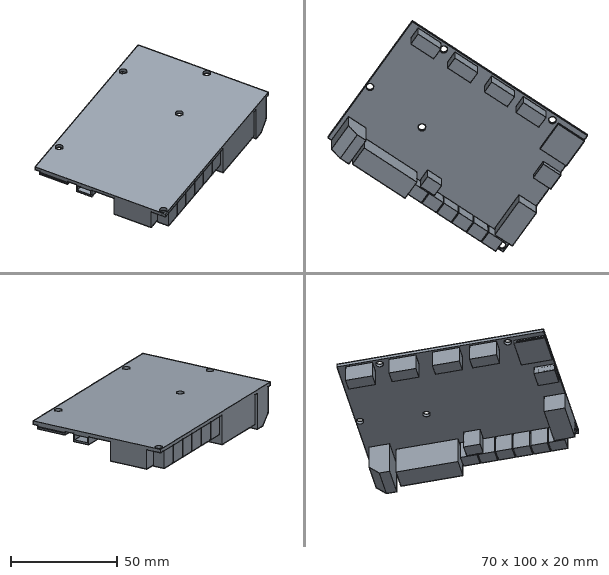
import cadquery as cq

BOARD_LENGTH_X = 70.0
BOARD_LENGTH_Y = 100.0
BOARD_THICKNESS = 1.8
OVERALL_HEIGHT = 20.0

HOLE_DIAMETER = 3.5
LEFT_HOLE_X = 3.0
HOLE_CENTRES = [
    (38.0, 98.0),
    (LEFT_HOLE_X, 80.0),
    (LEFT_HOLE_X, 18.0),
    (40.7, 66.5),
    (67.7, 2.3),
]

SOCKET_WIDTH_X = 6.0
SOCKET_LENGTH_Y = 13.0
SOCKET_HEIGHT = 8.9
SOCKET_X = 1.0
SOCKET_STARTS_Y = [23.0, 41.0, 62.0, 83.0]

TERMINAL_WIDTH_X = 6.0
TERMINAL_LENGTH_Y = 8.0
TERMINAL_HEIGHT = 9.8
TERMINAL_X = 63.0
TERMINAL_FIRST_Y = 5.0
TERMINAL_GAP = 0.5
TERMINAL_PITCH = TERMINAL_LENGTH_Y + TERMINAL_GAP
TERMINAL_COUNT = 6
INNER_TERMINAL_X = TERMINAL_X - TERMINAL_GAP - TERMINAL_WIDTH_X
INNER_TERMINAL_Y = 44.4

FRONT_CONNECTOR_X = 42.4
FRONT_CONNECTOR_WIDTH_X = 20.0
FRONT_CONNECTOR_LENGTH_Y = 10.0

LONG_BLOCK_WIDTH_X = 9.8
LONG_BLOCK_LENGTH_Y = 30.0
LONG_BLOCK_HEIGHT = 15.0
LONG_BLOCK_Y = 56.0

TALL_BLOCK_WIDTH_X = 14.2
TALL_BLOCK_LENGTH_Y = 10.0
TALL_BLOCK_HEIGHT = OVERALL_HEIGHT - BOARD_THICKNESS
TALL_BLOCK_Y = 88.0
TALL_BLOCK_CHAMFER = 5.0

CARD_HOLDER_X = 2.5
CARD_HOLDER_WIDTH_X = 15.0
CARD_HOLDER_LENGTH_Y = 15.0
CARD_HOLDER_HEIGHT = 1.8
CARD_SLOT_SIDE_WALL = 0.3
CARD_SLOT_TOP_WALL = 0.5
CARD_SLOT_HEIGHT = 0.4
CARD_SLOT_DEPTH = 14.0

USB_X = 22.2
USB_WIDTH_X = 8.3
USB_LENGTH_Y = 10.0
USB_HEIGHT = 4.1
USB_SIDE_WALL = 0.6
USB_TOP_WALL = 0.5
USB_OPENING_HEIGHT = 2.6
USB_OPENING_DEPTH = 8.0


def hanging_box(x, y, width_x, length_y, height, top=0.0):
    """Box with its lowest-x, lowest-y corner at (x, y), reaching down from z = top."""
    return cq.Workplane("XY").box(width_x, length_y, height, centered=False).translate((x, y, top - height))


def board():
    plate = cq.Workplane("XY").box(BOARD_LENGTH_X, BOARD_LENGTH_Y, BOARD_THICKNESS, centered=False)
    holes = cq.Workplane("XY").pushPoints(HOLE_CENTRES).circle(HOLE_DIAMETER / 2).extrude(BOARD_THICKNESS)
    return plate.cut(holes)


def sockets():
    return [
        hanging_box(SOCKET_X, y, SOCKET_WIDTH_X, SOCKET_LENGTH_Y, SOCKET_HEIGHT)
        for y in SOCKET_STARTS_Y
    ]


def terminals():
    places = [(TERMINAL_X, TERMINAL_FIRST_Y + i * TERMINAL_PITCH) for i in range(TERMINAL_COUNT)]
    places.append((INNER_TERMINAL_X, INNER_TERMINAL_Y))
    return [hanging_box(x, y, TERMINAL_WIDTH_X, TERMINAL_LENGTH_Y, TERMINAL_HEIGHT) for x, y in places]


def front_connector():
    return hanging_box(
        FRONT_CONNECTOR_X, 0, FRONT_CONNECTOR_WIDTH_X, FRONT_CONNECTOR_LENGTH_Y, TERMINAL_HEIGHT
    )


def long_block():
    x = BOARD_LENGTH_X - LONG_BLOCK_WIDTH_X
    return hanging_box(x, LONG_BLOCK_Y, LONG_BLOCK_WIDTH_X, LONG_BLOCK_LENGTH_Y, LONG_BLOCK_HEIGHT)


def tall_block():
    x = BOARD_LENGTH_X - TALL_BLOCK_WIDTH_X
    block = hanging_box(x, TALL_BLOCK_Y, TALL_BLOCK_WIDTH_X, TALL_BLOCK_LENGTH_Y, TALL_BLOCK_HEIGHT)
    return block.faces(">Y").edges("<Z").chamfer(TALL_BLOCK_CHAMFER)


def card_holder():
    body = hanging_box(CARD_HOLDER_X, 0, CARD_HOLDER_WIDTH_X, CARD_HOLDER_LENGTH_Y, CARD_HOLDER_HEIGHT)
    slot = hanging_box(
        CARD_HOLDER_X + CARD_SLOT_SIDE_WALL,
        0,
        CARD_HOLDER_WIDTH_X - 2 * CARD_SLOT_SIDE_WALL,
        CARD_SLOT_DEPTH,
        CARD_SLOT_HEIGHT,
        top=-CARD_SLOT_TOP_WALL,
    )
    return body.cut(slot)


def usb_socket():
    body = hanging_box(USB_X, 0, USB_WIDTH_X, USB_LENGTH_Y, USB_HEIGHT)
    opening = hanging_box(
        USB_X + USB_SIDE_WALL,
        0,
        USB_WIDTH_X - 2 * USB_SIDE_WALL,
        USB_OPENING_DEPTH,
        USB_OPENING_HEIGHT,
        top=-USB_TOP_WALL,
    )
    return body.cut(opening)


components = sockets() + terminals()
components += [front_connector(), long_block(), tall_block(), card_holder(), usb_socket()]

result = board()
for component in components:
    result = result.union(component)